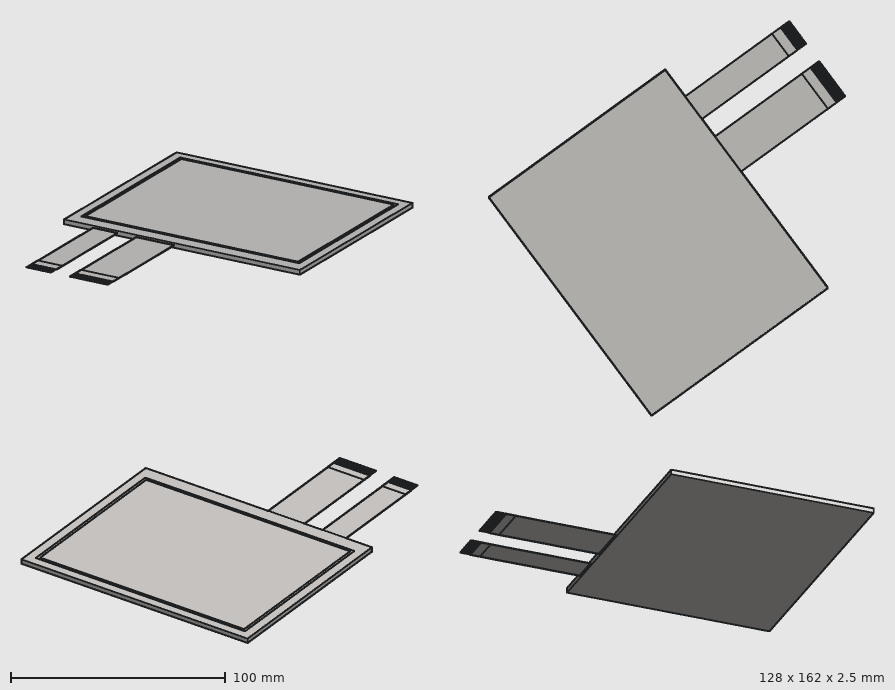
import cadquery as cq

panel_width = 128.0
panel_depth = 101.9
panel_thickness = 2.5

frame_margin = 4.9
frame_front_margin = 7.5
frame_width = 1.5
frame_groove_depth = 0.08

total_depth = 162.0
tail_length = total_depth - panel_depth
tail_top = 1.5
tail_thickness = 0.3
tail_embed = 1.6
stiffener_length = 10.0
stiffener_thickness = 0.08

contact_length = 5.0
tip_relief = 0.25
contact_thickness = 0.08
contact_pitch = 1.0
contact_width = 0.6

tails = [
    (15.7, 13.3, 13),
    (39.2, 20.5, 20),
]


def block(left, front, bottom, width, depth, height):
    """Axis-aligned box placed by its left, front, bottom corner."""
    return cq.Workplane("XY").box(width, depth, height, centered=False).translate((left, front, bottom))


def make_panel():
    """Flat panel with a shallow frame groove in its top face."""
    panel = block(0, 0, 0, panel_width, panel_depth, panel_thickness)
    groove_floor = panel_thickness - frame_groove_depth

    def inset_block(inset):
        """Groove-deep block whose edges lie the given distance inside the frame outline."""
        side = frame_margin + inset
        front = frame_front_margin + inset
        width = panel_width - 2 * side
        depth = panel_depth - front - side
        return block(side, front, groove_floor, width, depth, frame_groove_depth)

    return panel.cut(inset_block(0).cut(inset_block(frame_width)))


def make_tail(left, width, contact_count):
    """Cable tail with a stiffener on top of its tip and contact fingers underneath."""
    tip = -tail_length
    tail_bottom = tail_top - tail_thickness
    tail = block(left, tip, tail_bottom, width, tail_length + tail_embed, tail_thickness)
    tail = tail.cut(block(left, tip, tail_bottom, width, contact_length, tip_relief))
    tail = tail.union(block(left, tip, tail_top, width, stiffener_length, stiffener_thickness))

    fingers_span = (contact_count - 1) * contact_pitch + contact_width
    first_finger = left + (width - fingers_span) / 2
    finger_bottom = tail_bottom + tip_relief - contact_thickness
    for index in range(contact_count):
        finger_left = first_finger + index * contact_pitch
        finger = block(finger_left, tip, finger_bottom, contact_width, contact_length, contact_thickness)
        tail = tail.union(finger)
    return tail


result = make_panel()
for tail_left, tail_width, tail_contacts in tails:
    result = result.union(make_tail(tail_left, tail_width, tail_contacts))